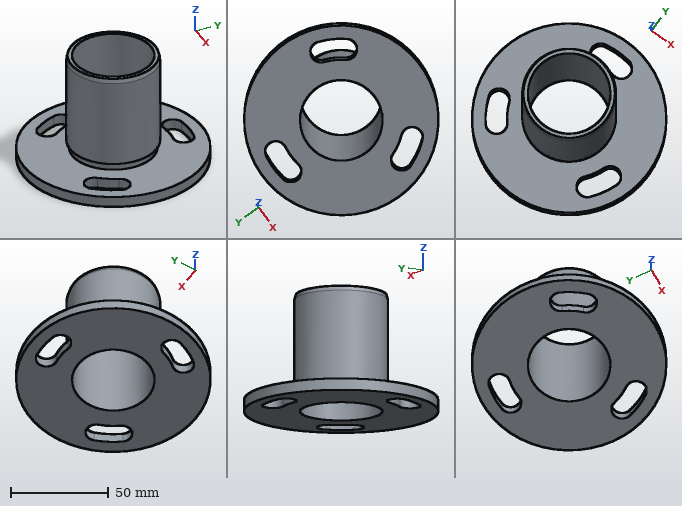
import cadquery as cq
import math

flange_diameter = 100.0
flange_thickness = 6.0

total_height = 61.0
tube_diameter = 48.4
neck_diameter = 45.8
bore_diameter = 42.4
neck_height = 4.2
tip_taper_height = 2.5
tip_taper_inset = 0.7

slot_count = 3
slot_first_angle = 90.0
slot_pitch_radius = 37.5
slot_width = 11.0
slot_half_sweep = 10.0


def polar_point(radius, angle):
    """Point at a radius and an angle in degrees from +X."""
    return (radius * math.cos(math.radians(angle)), radius * math.sin(math.radians(angle)))


def make_body():
    """Solid flange, neck and tapered tube, revolved about Z."""
    flange_radius = flange_diameter / 2
    neck_radius = neck_diameter / 2
    tube_radius = tube_diameter / 2
    tube_bottom = flange_thickness + neck_height
    profile = (
        cq.Workplane("XZ")
        .moveTo(0, 0)
        .lineTo(flange_radius, 0)
        .lineTo(flange_radius, flange_thickness)
        .lineTo(neck_radius, flange_thickness)
        .lineTo(neck_radius, tube_bottom)
        .lineTo(tube_radius, tube_bottom)
        .lineTo(tube_radius, total_height - tip_taper_height)
        .lineTo(tube_radius - tip_taper_inset, total_height)
        .lineTo(0, total_height)
        .close()
    )
    return profile.revolve(360, (0, 0, 0), (0, 1, 0))


def make_slot(middle_angle):
    """Cutter for one slot that follows the pitch circle and has round ends."""
    inner_radius = slot_pitch_radius - slot_width / 2
    outer_radius = slot_pitch_radius + slot_width / 2
    start_angle = middle_angle - slot_half_sweep
    end_angle = middle_angle + slot_half_sweep
    start_center = polar_point(slot_pitch_radius, start_angle)
    end_center = polar_point(slot_pitch_radius, end_angle)
    start_offset = polar_point(slot_width / 2, start_angle - 90)
    end_offset = polar_point(slot_width / 2, end_angle + 90)
    start_tip = (start_center[0] + start_offset[0], start_center[1] + start_offset[1])
    end_tip = (end_center[0] + end_offset[0], end_center[1] + end_offset[1])
    return (
        cq.Workplane("XY")
        .moveTo(*polar_point(inner_radius, start_angle))
        .threePointArc(start_tip, polar_point(outer_radius, start_angle))
        .threePointArc(polar_point(outer_radius, middle_angle), polar_point(outer_radius, end_angle))
        .threePointArc(end_tip, polar_point(inner_radius, end_angle))
        .threePointArc(polar_point(inner_radius, middle_angle), polar_point(inner_radius, start_angle))
        .close()
        .extrude(flange_thickness)
    )


bore = cq.Workplane("XY").circle(bore_diameter / 2).extrude(total_height)
result = make_body().cut(bore)
for index in range(slot_count):
    result = result.cut(make_slot(slot_first_angle + index * 360 / slot_count))